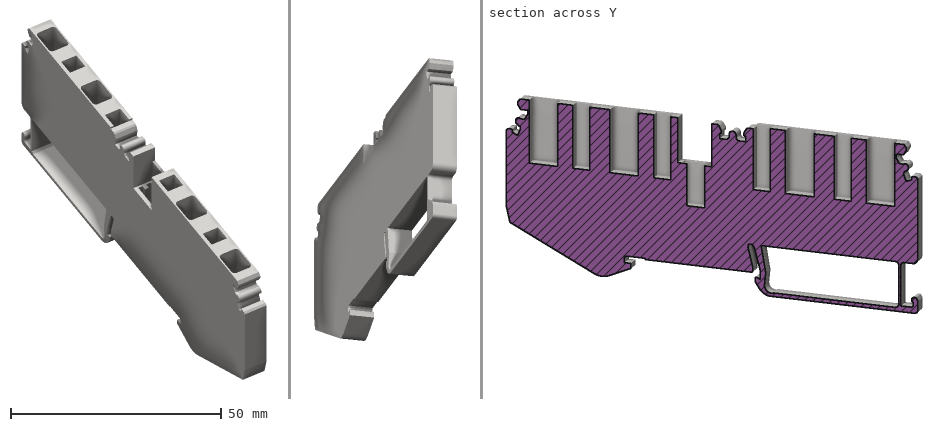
import cadquery as cq

length = 105.0
thickness = 6.0
height = 42.0

half_length = length / 2
half_thickness = thickness / 2
clearance = 1.0

foot_top = 12.4
rail_seat = 5.5
marker_top = 41.5

recess_left = 0.1
recess_right = 8.7
recess_floor = 30.8
recess_wall_top = 37.1
recess_wall = 0.7

pocket_left = 0.6
pocket_right = 7.7
pocket_front = 1.0
pocket_back = 4.4
tab_length = 1.3
tab_width = 1.0
pocket_depth = 10.5

wire_centres = (22.4, 42.9)
wire_length = 7.1
wire_width = 5.2
wire_corner = 0.9
test_centres = (12.7, 33.3)
test_side = 4.2
opening_depth = 15.8

marker_left = test_side / 2 - test_centres[0]

strut_left = -48.2
window_left = -47.6
foot_floor = 1.0
window_corner = 0.5
hook_floor = 1.6
hook_corner = 0.9
strut_fillet = 0.7
web_thickness = 1.0
web_top = 6.6

rib_centre = -5.2
rib_radius = 0.9
rib_shoulder = 39.3


def extrude_through(profile):
    """Extrude an XZ profile over the full thickness."""
    return profile.extrude(half_thickness, both=True)


def make_plate():
    """Main plate: flat body with the fixed rail claw at the lower right."""
    profile = (
        cq.Workplane("XZ")
        .moveTo(-half_length, height)
        .lineTo(half_length, height)
        .lineTo(half_length, 14.9)
        .lineTo(51.6, 10.8)
        .lineTo(29.7, 0.3)
        .threePointArc((28.0, 0), (26.4, 0.3))
        .lineTo(20.7, 2.8)
        .lineTo(20.7, 4.2)
        .lineTo(22.3, 4.2)
        .lineTo(22.3, 5.4)
        .lineTo(21.9, 5.8)
        .lineTo(17.1, 5.8)
        .lineTo(17.1, rail_seat)
        .lineTo(-10.2, rail_seat)
        .lineTo(-10.5, 5.8)
        .lineTo(-10.5, 6.6)
        .lineTo(-9.2, 11.7)
        .lineTo(-9.3, foot_top)
        .lineTo(-51.5, foot_top)
        .threePointArc((-52.1, 12.8), (-half_length, 13.9))
        .close()
    )
    return extrude_through(profile)


def make_foot():
    """Sprung rail foot hanging below the plate, with its window cut out."""
    outline = (
        cq.Workplane("XZ")
        .moveTo(strut_left - strut_fillet, foot_top)
        .radiusArc((strut_left, foot_top - strut_fillet), strut_fillet)
        .lineTo(strut_left, hook_floor)
        .lineTo(-50.9, hook_floor)
        .lineTo(-51.2, 1.9)
        .lineTo(-51.2, 2.6)
        .threePointArc((-50.8, 3.4), (-51.6, 4.1))
        .lineTo(-52.1, 4.1)
        .lineTo(-half_length, 3.3)
        .lineTo(-half_length, hook_corner)
        .radiusArc((hook_corner - half_length, 0), -hook_corner)
        .lineTo(-14.7, 0)
        .threePointArc((-12.9, 0.7), (-11.8, 2.1))
        .lineTo(-11.0, 3.2)
        .lineTo(-11.0, 4.4)
        .lineTo(-11.5, 4.4)
        .lineTo(-12.2, 4.1)
        .lineTo(-12.2, 6.4)
        .lineTo(-10.7, 11.8)
        .lineTo(-10.2, foot_top)
        .close()
    )
    window = (
        cq.Workplane("XZ")
        .moveTo(window_left, foot_top - window_corner)
        .lineTo(window_left + window_corner, foot_top)
        .lineTo(-12.6, foot_top)
        .lineTo(-13.8, 5.8)
        .lineTo(-13.4, 2.8)
        .threePointArc((-13.9, 1.5), (-15.8, foot_floor))
        .lineTo(window_left + window_corner, foot_floor)
        .lineTo(window_left, foot_floor + window_corner)
        .close()
    )
    return extrude_through(outline).cut(extrude_through(window))


def make_foot_web():
    """Thin sloping web at the back, joining the hook to the strut."""
    profile = (
        cq.Workplane("XZ", origin=(0, half_thickness, 0))
        .moveTo(strut_left, hook_floor)
        .lineTo(strut_left, web_top)
        .lineTo(-48.5, 6.0)
        .lineTo(-51.6, 4.0)
        .lineTo(-51.6, hook_floor)
        .close()
    )
    return profile.extrude(web_thickness)


def make_corner_cut():
    """Material removed at the top left corner, leaving two snap noses."""
    outside_x = -half_length - clearance
    outside_z = height + clearance
    ledge_top = 33.8
    profile = (
        cq.Workplane("XZ")
        .moveTo(outside_x, outside_z)
        .lineTo(-48.9, outside_z)
        .lineTo(-48.9, height)
        .lineTo(-49.6, 41.2)
        .lineTo(-49.6, 40.5)
        .lineTo(-48.8, 39.3)
        .lineTo(-47.0, 39.3)
        .lineTo(-47.0, 38.3)
        .lineTo(-47.8, 37.1)
        .lineTo(-48.8, 37.1)
        .lineTo(-49.0, 37.3)
        .threePointArc((-50.1, 36.4), (-49.6, 35.4))
        .lineTo(-48.9, 35.0)
        .lineTo(-48.9, 34.3)
        .lineTo(-49.6, 32.9)
        .lineTo(-50.8, 33.4)
        .lineTo(-50.8, 34.2)
        .lineTo(-52.0, 34.2)
        .lineTo(-half_length, ledge_top)
        .lineTo(outside_x, ledge_top)
        .close()
    )
    return extrude_through(profile)


def make_marker_cut():
    """Two grooves either side of a round-topped snap rib."""
    outside_z = height + clearance
    groove_floor = 38.0
    left_groove = extrude_through(
        cq.Workplane("XZ")
        .moveTo(rib_centre, outside_z)
        .lineTo(-9.1, outside_z)
        .lineTo(-9.1, marker_top)
        .lineTo(-8.7, 41.2)
        .lineTo(-8.1, 40.1)
        .lineTo(-8.1, 39.4)
        .lineTo(-8.5, 39.2)
        .lineTo(-8.5, groove_floor)
        .lineTo(-6.7, groove_floor)
        .lineTo(rib_centre - rib_radius, 38.5)
        .lineTo(rib_centre - rib_radius, rib_shoulder)
        .radiusArc((rib_centre, rib_shoulder + rib_radius), rib_radius)
        .close()
    )
    return left_groove.union(left_groove.mirror("YZ", (rib_centre, 0, 0)))


def block(x_range, y_range, z_range):
    """Rectangular block between the given limits."""
    size = [high - low for low, high in (x_range, y_range, z_range)]
    start = (x_range[0], y_range[0], z_range[0])
    return cq.Workplane("XY").box(*size, centered=False).translate(start)


def make_recess_cut():
    """Recess in the top edge, its back wall step, and the lowered top."""
    recess_back = half_thickness - recess_wall
    recess_x = (recess_left, recess_right)
    full_y = (-half_thickness, half_thickness)
    recess = block(recess_x, (-half_thickness, recess_back), (recess_floor, height))
    above_wall = block(recess_x, full_y, (recess_wall_top, height))
    lowered_top = block((marker_left, recess_left), full_y, (marker_top, height))
    return recess.union(above_wall).union(lowered_top)


def make_pocket_cut():
    """Pocket in the recess floor with a tab at each end."""
    front = pocket_front - half_thickness
    back = pocket_back - half_thickness
    middle = (front + back) / 2
    pocket_z = (recess_floor - pocket_depth, recess_floor)
    tab_y = (middle - tab_width / 2, middle + tab_width / 2)
    pocket = block((pocket_left, pocket_right), (front, back), pocket_z)
    for tab_start in (pocket_left, pocket_right - tab_length):
        pocket = pocket.cut(block((tab_start, tab_start + tab_length), tab_y, pocket_z))
    return pocket


def make_openings():
    """Rounded wire entries and square test openings along the top edge."""
    top = cq.Workplane("XY", origin=(0, 0, height))
    wire_points = [(side * x, 0) for side in (-1, 1) for x in wire_centres]
    test_points = [(side * x, 0) for side in (-1, 1) for x in test_centres]
    wires = (
        top.pushPoints(wire_points)
        .rect(wire_length, wire_width)
        .extrude(-opening_depth)
        .edges("|Z")
        .fillet(wire_corner)
    )
    tests = top.pushPoints(test_points).rect(test_side, test_side).extrude(-opening_depth)
    return wires.union(tests)


corner_cut = make_corner_cut()

result = (
    make_plate()
    .union(make_foot())
    .union(make_foot_web())
    .cut(corner_cut)
    .cut(corner_cut.mirror("YZ"))
    .cut(make_marker_cut())
    .cut(make_recess_cut())
    .cut(make_pocket_cut())
    .cut(make_openings())
)